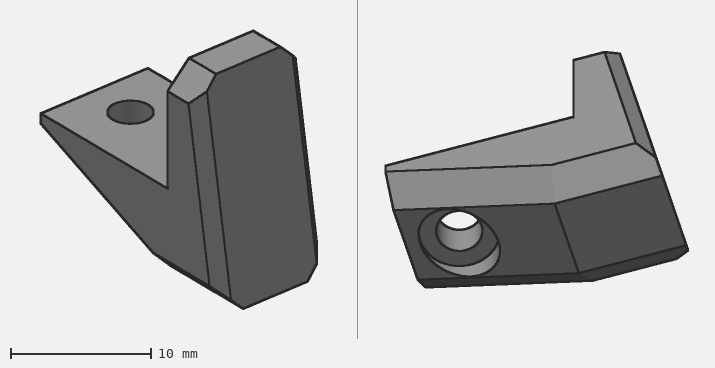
import cadquery as cq
import math

length = 20
width = 10
height = 18

foot_top = 8
toe_bottom = 5
sole_start = 12
wall_front = 14
wall_top_back = 17

bevel = 2
back_bevel = 1

hole_x = 4
hole_diameter = 3.3
counterbore_diameter = 5.8
counterbore_floor = 5

toe = (0, toe_bottom)
sole_front = (sole_start, 0)
heel = (length, 0)
wall_back = (wall_top_back, height)
wall_crest = (wall_front, height)


def bevel_side_edges(body, start, end, size):
    """Bevel both side edges of the flat face running from start to end in XZ.

    The outline runs counter-clockwise, so the material lies left of start-to-end.
    """
    run_x = end[0] - start[0]
    run_z = end[1] - start[1]
    run = math.hypot(run_x, run_z)
    for side in (-1, 1):
        plane = cq.Plane(
            origin=(start[0] - run_x, 0, start[1] - run_z),
            xDir=(0, 1, 0),
            normal=(run_x / run, 0, run_z / run),
        )
        corner = side * width / 2
        cutter = (
            cq.Workplane(plane)
            .polyline([
                (corner - side * 2 * size, -size),
                (corner + side * size, -size),
                (corner + side * size, 2 * size),
            ])
            .close()
            .extrude(3 * run)
        )
        body = body.cut(cutter)
    return body


result = (
    cq.Workplane("XZ")
    .polyline([
        toe,
        sole_front,
        heel,
        wall_back,
        wall_crest,
        (wall_front, foot_top),
        (0, foot_top),
    ])
    .close()
    .extrude(width / 2, both=True)
)

result = bevel_side_edges(result, toe, sole_front, bevel)
result = bevel_side_edges(result, sole_front, heel, bevel)
result = bevel_side_edges(result, heel, wall_back, back_bevel)
result = bevel_side_edges(result, wall_back, wall_crest, bevel)

hole = cq.Workplane("XY").center(hole_x, 0).circle(hole_diameter / 2).extrude(foot_top)
counterbore = (
    cq.Workplane("XY").center(hole_x, 0).circle(counterbore_diameter / 2).extrude(counterbore_floor)
)
result = result.cut(hole).cut(counterbore)